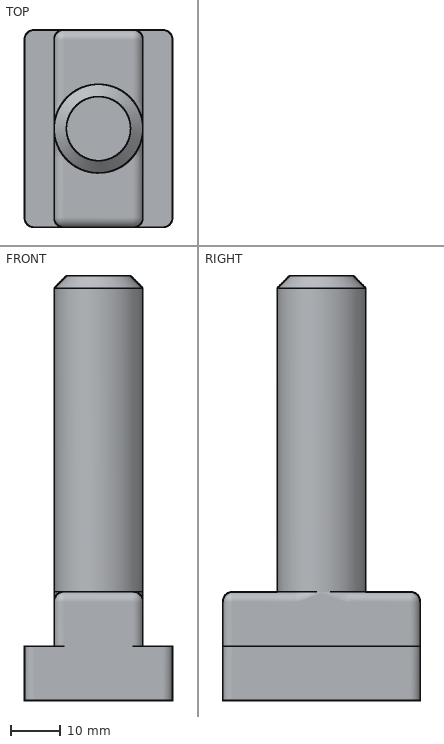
import cadquery as cq

base_width = 30.0
base_length = 40.0
base_height = 11.0

total_height = 86.0
shank_diameter = 18.0
tip_chamfer = 2.5

neck_clearance = 0.035
neck_width = shank_diameter + neck_clearance
neck_top = 2 * base_height

edge_radius = 2.0


def rounded_block(width, height):
    """Block over the full foot length with rounded upright edges."""
    block = cq.Workplane("XY").rect(width, base_length).extrude(height)
    return block.edges("|Z").fillet(edge_radius)


def make_shank():
    """Round bar, chamfered at its tip."""
    shank = cq.Workplane("XY").circle(shank_diameter / 2).extrude(total_height)
    return shank.faces(">Z").chamfer(tip_chamfer)


def round_neck_rim(body):
    """Round the outer rim of the neck's top face, letting the fillet run out against the shank."""
    neck_top_face = body.faces("|Z").faces(">Z[-2]").val()
    rim_edges = neck_top_face.outerWire().Edges()
    return body.newObject(rim_edges).fillet(edge_radius)


neck_and_shank = round_neck_rim(rounded_block(neck_width, neck_top).union(make_shank()))
foot = rounded_block(base_width, base_height)
result = foot.union(neck_and_shank)